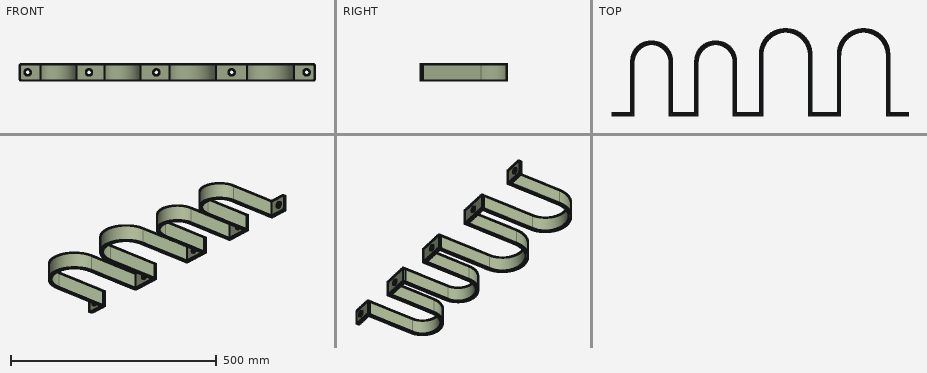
import cadquery as cq

length = 719.0
depth = 211.0
width = 40.0
thickness = 6.05

small_inner_radius = 44.0
small_radius = small_inner_radius + thickness
large_inner_radius = 57.0
large_radius = large_inner_radius + thickness
small_strap_height = 180.5
straps = [
    (95.0, small_radius, small_strap_height),
    (251.0, small_radius, small_strap_height),
    (421.0, large_radius, depth),
    (611.0, large_radius, depth),
]

hole_places = [19.5, 169.0, 333.0, 516.0, 699.0]
hole_diameter = 14.5
corner_radius = 5.0


def make_strap(centre_x, outer_radius, height):
    """U-shaped strap standing on the back faces of two foot plates."""
    bend_y = height - outer_radius
    inner_radius = outer_radius - thickness

    def rounded_outline(radius):
        return (
            cq.Workplane("XY")
            .moveTo(centre_x - radius, thickness)
            .lineTo(centre_x - radius, bend_y)
            .threePointArc((centre_x, bend_y + radius), (centre_x + radius, bend_y))
            .lineTo(centre_x + radius, thickness)
            .close()
            .extrude(width)
        )

    return rounded_outline(outer_radius).cut(rounded_outline(inner_radius))


def make_foot(start_x, end_x, hole_x, rounded_side=None):
    """Foot plate with one hole; a free end has its two corners rounded."""
    foot = cq.Workplane("XY").box(end_x - start_x, thickness, width, centered=False)
    foot = foot.translate((start_x, 0, 0))
    if rounded_side:
        foot = foot.faces(rounded_side).edges("|Y").fillet(corner_radius)
    hole = (
        cq.Workplane("XZ")
        .center(hole_x, width / 2)
        .circle(hole_diameter / 2)
        .extrude(-thickness)
    )
    return foot.cut(hole)


strap_bodies = [make_strap(*strap) for strap in straps]

foot_starts = [0.0] + [centre + radius - thickness for centre, radius, _ in straps]
foot_ends = [centre - radius + thickness for centre, radius, _ in straps] + [length]
rounded_sides = ["<X", None, None, None, ">X"]
foot_bodies = [
    make_foot(start, end, hole_x, side)
    for start, end, hole_x, side in zip(foot_starts, foot_ends, hole_places, rounded_sides)
]

result = cq.Compound.makeCompound([body.val() for body in strap_bodies + foot_bodies])